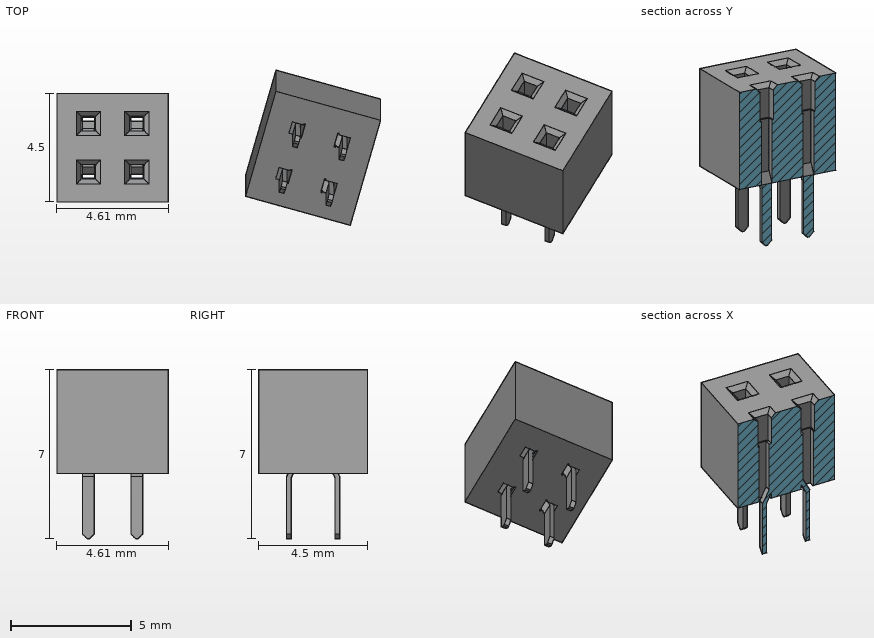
import cadquery as cq
import math

body_length = 4.61
body_width = 4.5
overall_height = 7.0
body_height = 4.3
pitch = 2.0

rim_size = 1.0
throat_size = 0.6
lead_in_depth = (rim_size - throat_size) / 2

pin_drop = overall_height - body_height
pin_width = 0.5
pin_thickness = 0.2
tip_chamfer = 0.2
box_opening = pin_width
contact_top = 2.8

bend_slope = 0.5
bend_angle = math.atan(bend_slope)
bend_start = -0.125
jog = 0.3
jog_rise = jog / bend_slope
inner_face_drop = pin_thickness * math.tan(bend_angle / 2)


def square_socket():
    """Tapered lead-in and square throat, through the whole housing."""
    throat = cq.Workplane("XY").rect(throat_size, throat_size).extrude(body_height)
    lead_in = (
        cq.Workplane("XY", origin=(0, 0, body_height - lead_in_depth))
        .rect(throat_size, throat_size)
        .workplane(offset=lead_in_depth)
        .rect(rim_size, rim_size)
        .loft(ruled=True)
    )
    return throat.union(lead_in)


def bent_pin():
    """Flat pin that leans towards -Y as it enters the housing, with a chamfered tip."""
    outer_y = pin_thickness / 2
    inner_y = -pin_thickness / 2
    profile = [
        (outer_y, -pin_drop),
        (outer_y, bend_start),
        (outer_y - jog, bend_start + jog_rise),
        (outer_y - jog, contact_top),
        (inner_y - jog, contact_top),
        (inner_y - jog, bend_start + jog_rise - inner_face_drop),
        (inner_y, bend_start - inner_face_drop),
        (inner_y, -pin_drop),
    ]
    pin = cq.Workplane("YZ").polyline(profile).close().extrude(pin_width / 2, both=True)
    return pin.faces("<Z").edges("|Y").chamfer(tip_chamfer)


def spring_box():
    """Two side walls and an outer wall lining the throat, open towards -Y."""
    lining_depth = (throat_size + box_opening) / 2
    lining = (
        cq.Workplane("XY")
        .center(0, (throat_size - lining_depth) / 2)
        .rect(throat_size, lining_depth)
        .extrude(contact_top)
    )
    return lining.cut(cq.Workplane("XY").rect(box_opening, box_opening).extrude(contact_top))


result = cq.Workplane("XY").rect(body_length, body_width).extrude(body_height)
socket = square_socket()
back_contact = spring_box().union(bent_pin())
front_contact = back_contact.mirror("XZ")

for x in (-pitch / 2, pitch / 2):
    for y, contact in ((-pitch / 2, front_contact), (pitch / 2, back_contact)):
        result = result.cut(socket.translate((x, y, 0)))
        result = result.union(contact.translate((x, y, 0)))